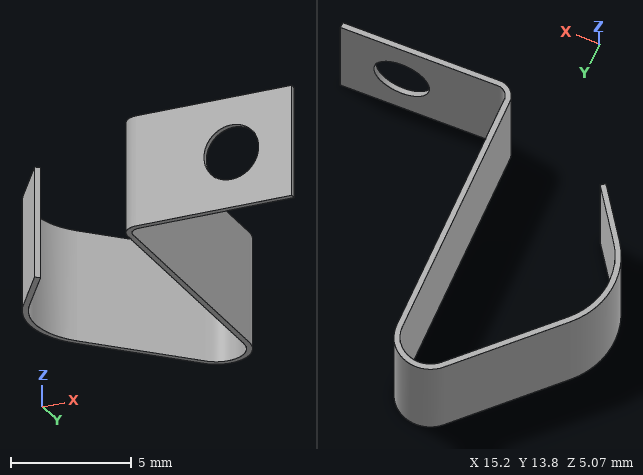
import cadquery as cq
import math

length = 15.24
depth = 13.84
width = 5.07
thickness = 0.26

foot_bend_radius = 0.76
crown_radius = 1.52
belly_radius = 3.38

wall_right = 7.62
belly_center_y = 6.98
tail_angle = 34.5
tail_length = 2.77

hole_diameter = 2.5
hole_x = 12.47

wall_left = wall_right - thickness
foot_bend_center = (wall_left + foot_bend_radius, foot_bend_radius)
crown_center = (wall_right - crown_radius, depth - crown_radius)
belly_center = (belly_radius, belly_center_y)

center_dx = crown_center[0] - belly_center[0]
center_dy = crown_center[1] - belly_center[1]
center_distance = math.hypot(center_dx, center_dy)
arm_normal = math.degrees(
    math.atan2(center_dy, center_dx)
    + math.acos((belly_radius - crown_radius) / center_distance)
)
tail_normal = 180 + tail_angle


def on_arc(center, radius, angle):
    """Point on a circle at an angle in degrees from +X."""
    a = math.radians(angle)
    return (center[0] + radius * math.cos(a), center[1] + radius * math.sin(a))


def tail_end(radius):
    """End of the straight tail that leaves the belly arc of this radius."""
    start = on_arc(belly_center, radius, tail_normal)
    return on_arc(start, tail_length, tail_normal + 90)


def make_strip():
    """Extrude the bent strip outline across its width."""
    crown_middle = arm_normal / 2
    belly_middle = (arm_normal + tail_normal) / 2
    foot_inner = foot_bend_radius - thickness
    crown_inner = crown_radius - thickness
    belly_inner = belly_radius - thickness
    return (
        cq.Workplane("XY")
        .moveTo(length, thickness)
        .lineTo(*on_arc(foot_bend_center, foot_inner, 270))
        .threePointArc(
            on_arc(foot_bend_center, foot_inner, 225), on_arc(foot_bend_center, foot_inner, 180)
        )
        .lineTo(*on_arc(crown_center, crown_radius, 0))
        .threePointArc(
            on_arc(crown_center, crown_radius, crown_middle),
            on_arc(crown_center, crown_radius, arm_normal),
        )
        .lineTo(*on_arc(belly_center, belly_radius, arm_normal))
        .threePointArc(
            on_arc(belly_center, belly_radius, belly_middle),
            on_arc(belly_center, belly_radius, tail_normal),
        )
        .lineTo(*tail_end(belly_radius))
        .lineTo(*tail_end(belly_inner))
        .lineTo(*on_arc(belly_center, belly_inner, tail_normal))
        .threePointArc(
            on_arc(belly_center, belly_inner, belly_middle),
            on_arc(belly_center, belly_inner, arm_normal),
        )
        .lineTo(*on_arc(crown_center, crown_inner, arm_normal))
        .threePointArc(
            on_arc(crown_center, crown_inner, crown_middle), on_arc(crown_center, crown_inner, 0)
        )
        .lineTo(*on_arc(foot_bend_center, foot_bend_radius, 180))
        .threePointArc(
            on_arc(foot_bend_center, foot_bend_radius, 225),
            on_arc(foot_bend_center, foot_bend_radius, 270),
        )
        .lineTo(length, 0)
        .close()
        .extrude(width)
    )


def make_hole():
    """Cylinder along Y that pierces the foot at mid width."""
    return (
        cq.Workplane("XZ")
        .center(hole_x, width / 2)
        .circle(hole_diameter / 2)
        .extrude(thickness, both=True)
    )


result = make_strip().cut(make_hole())